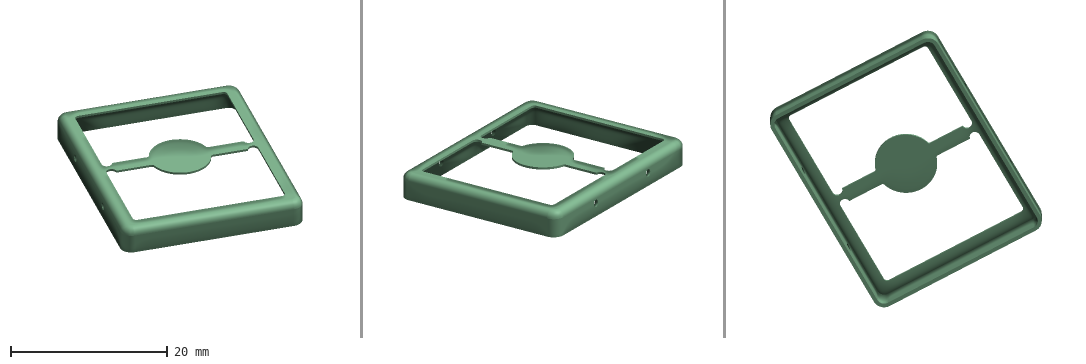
import cadquery as cq

LENGTH = 30.0
WIDTH = 24.4
HEIGHT = 3.5
CORNER_RADIUS = 1.5
TOP_FILLET = 1.0

WALL = 0.5
CAVITY_CORNER_RADIUS = CORNER_RADIUS - WALL
SHEET_THICKNESS = 0.3

RIM = 2.0
WINDOW_CORNER_RADIUS = 0.5

DISC_DIAMETER = 8.0
ARM_WIDTH = 1.92
ARM_ROOT_FILLET = 0.3
NOTCH_DIAMETER = 1.35
NECK_WIDTH = 0.75

HOLE_DIAMETER = 1.0
HOLE_SPACING = 12.0
HOLE_HEIGHT = 1.8

SHEET_BOTTOM = HEIGHT - SHEET_THICKNESS
WINDOW_LENGTH = LENGTH - 2 * RIM
WINDOW_WIDTH = WIDTH - 2 * RIM


def rounded_block(length, width, height, radius):
    """Block standing on Z = 0 with rounded vertical edges."""
    block = cq.Workplane("XY").box(length, width, height, centered=(True, True, False))
    return block.edges("|Z").fillet(radius)


def make_frame():
    """Rounded shell, open below, with a window in its top sheet."""
    outer = rounded_block(LENGTH, WIDTH, HEIGHT, CORNER_RADIUS).faces(">Z").edges().fillet(TOP_FILLET)
    cavity = rounded_block(LENGTH - 2 * WALL, WIDTH - 2 * WALL, SHEET_BOTTOM, CAVITY_CORNER_RADIUS)
    window = rounded_block(WINDOW_LENGTH, WINDOW_WIDTH, HEIGHT, WINDOW_CORNER_RADIUS)
    return outer.cut(cavity).cut(window)


def make_disc_and_arms():
    """Thin disc and its arms, level with the top sheet."""
    sheet = cq.Workplane("XY").workplane(offset=SHEET_BOTTOM)
    arms = sheet.rect(ARM_WIDTH, WINDOW_WIDTH + RIM / 2).extrude(SHEET_THICKNESS)
    disc = sheet.circle(DISC_DIAMETER / 2).extrude(SHEET_THICKNESS)
    joined = arms.union(disc)
    arm_roots = cq.selectors.BoxSelector(
        (-ARM_WIDTH, -DISC_DIAMETER / 2, 0),
        (ARM_WIDTH, DISC_DIAMETER / 2, HEIGHT),
    )
    joined = joined.edges("|Z").edges(arm_roots).fillet(ARM_ROOT_FILLET)

    notch_x = (NECK_WIDTH + NOTCH_DIAMETER) / 2
    notch_y = (WINDOW_WIDTH - NOTCH_DIAMETER) / 2
    notches = (
        sheet.rect(2 * notch_x, 2 * notch_y, forConstruction=True)
        .vertices()
        .circle(NOTCH_DIAMETER / 2)
        .extrude(SHEET_THICKNESS)
    )
    return joined.cut(notches)


def make_cross_holes():
    """Two cylinders along Y, passing through both long walls."""
    return (
        cq.Workplane("XZ")
        .pushPoints([(-HOLE_SPACING / 2, HOLE_HEIGHT), (HOLE_SPACING / 2, HOLE_HEIGHT)])
        .circle(HOLE_DIAMETER / 2)
        .extrude(WIDTH, both=True)
    )


result = make_frame().union(make_disc_and_arms()).cut(make_cross_holes())